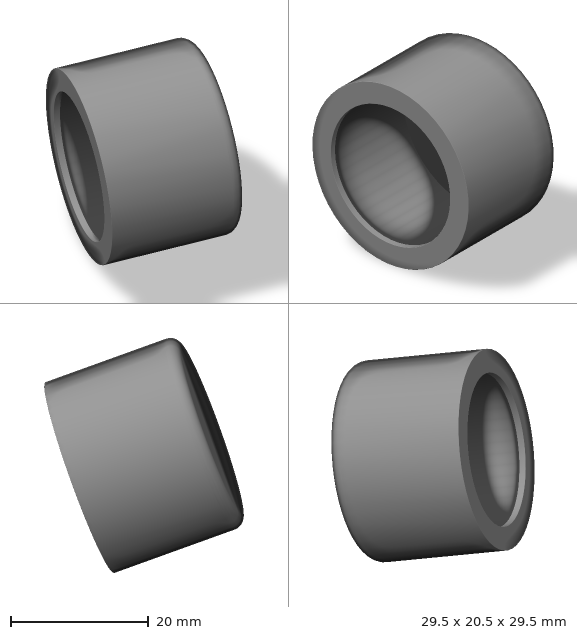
import cadquery as cq

outer_diameter = 29.5
length = 20.5
wall_thickness = 1.0
closed_edge_radius = 1.75

mouth_diameter = 22.5
lip_thickness = wall_thickness
lip_edge_radius = 0.05
bore_diameter = outer_diameter - 2 * wall_thickness
floor_thickness = wall_thickness

open_end_y = -length / 2
lip_back_y = open_end_y + lip_thickness


def cylinder_along_y(diameter, start_y, height):
    """Solid cylinder centred on the Y axis, growing from start_y toward +Y."""
    axis_start = cq.Vector(0, start_y, 0)
    axis_direction = cq.Vector(0, 1, 0)
    return cq.Workplane(cq.Solid.makeCylinder(diameter / 2, height, axis_start, axis_direction))


def make_body():
    """Outer cylinder, rounded over at its closed end."""
    body = cylinder_along_y(outer_diameter, open_end_y, length)
    return body.faces(">Y").edges().fillet(closed_edge_radius)


def make_cavity():
    """Mouth opening through the lip, followed by the wider bore behind it."""
    mouth = cylinder_along_y(mouth_diameter, open_end_y, lip_thickness)
    bore_length = length - lip_thickness - floor_thickness
    bore = cylinder_along_y(bore_diameter, lip_back_y, bore_length)
    return mouth.union(bore)


def round_lip_edges(cap):
    """Slightly round the outer rim and both edges of the mouth opening."""
    flat_faces = cap.faces("|Y")
    front_edges = flat_faces.faces("<Y").edges()
    mouth_back_edge = flat_faces.faces("<Y[-2]").edges(cq.selectors.RadiusNthSelector(0))
    return front_edges.add(mouth_back_edge).fillet(lip_edge_radius)


result = round_lip_edges(make_body().cut(make_cavity()))